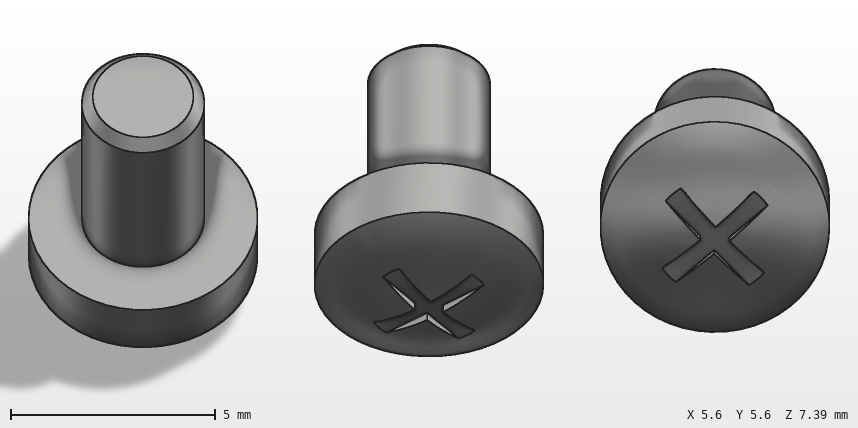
import cadquery as cq
import math

shank_diameter = 3.0
shank_length = 5.0
tip_chamfer = 0.27
head_diameter = 5.6
head_rim_height = 1.55
head_height = 2.4
slot_width = 0.5
slot_depth = 0.24

shank_radius = shank_diameter / 2
head_radius = head_diameter / 2
dome_height = head_height - head_rim_height
dome_radius = (head_radius**2 + dome_height**2) / (2 * dome_height)
dome_center_z = dome_radius - head_height


def make_body():
    """Revolve the screw profile: chamfered shank, flat head rim and spherical dome."""
    mid_y = head_radius / 2
    mid_z = dome_center_z - math.sqrt(dome_radius**2 - mid_y**2)
    profile = (
        cq.Workplane("YZ")
        .moveTo(0, -head_height)
        .threePointArc((mid_y, mid_z), (head_radius, -head_rim_height))
        .lineTo(head_radius, 0)
        .lineTo(shank_radius, 0)
        .lineTo(shank_radius, shank_length - tip_chamfer)
        .lineTo(shank_radius - tip_chamfer, shank_length)
        .lineTo(0, shank_length)
        .close()
    )
    return profile.revolve(360, (0, 0), (0, 1))


def make_cross_slot():
    """Two perpendicular slots running right across the dome."""
    slot = cq.Workplane("XY", origin=(0, 0, -head_height)).box(
        head_diameter, slot_width, slot_depth, centered=(True, True, False)
    )
    return slot.union(slot.rotate((0, 0, 0), (0, 0, 1), 90))


result = make_body().cut(make_cross_slot())